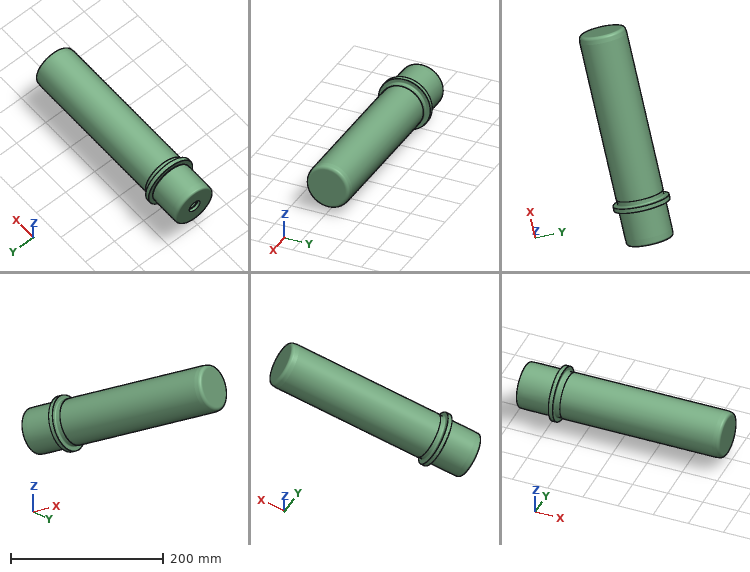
import cadquery as cq
import math

length = 289.0
pillar_radius = 31.8
flange_radius = 76.0 / 2

spigot_lead_end = 9.8
spigot_lead_radius = 31.5
spigot_edge_round = 3.0

flange_start = 48.8
flange_end = 55.2
flange_edge_chamfer = 0.3
relief_radius = 31.2
spigot_relief_width = 1.0
shank_relief_end = 62.7
relief_corner_round = 1.7

shank_lead_length = 9.2
shank_lead_radius = 31.2
shank_edge_round = 4.5

counterbore_radius = 9.2
hole_radius = 7.0
counterbore_depth = 4.3
hole_depth = 23.0
drill_point_angle = 120.0
drill_point_depth = hole_radius / math.tan(math.radians(drill_point_angle / 2))


def revolve_about_x(profile):
    return profile.close().revolve(360, (0, 0, 0), (1, 0, 0))


def round_corner(profile, start, end, centre):
    """Add a circular arc about centre, from start (the current point) to end."""
    radius = math.dist(start, centre)
    chord_middle = ((start[0] + end[0]) / 2, (start[1] + end[1]) / 2)
    stretch = radius / math.dist(chord_middle, centre)
    arc_middle = tuple(c + stretch * (m - c) for m, c in zip(chord_middle, centre))
    return profile.threePointArc(arc_middle, end)


def pillar_body():
    profile = cq.Workplane("XZ").lineTo(0, spigot_lead_radius - spigot_edge_round)
    profile = round_corner(
        profile,
        (0, spigot_lead_radius - spigot_edge_round),
        (spigot_edge_round, spigot_lead_radius),
        (spigot_edge_round, spigot_lead_radius - spigot_edge_round),
    )
    profile = (
        profile.lineTo(spigot_lead_end, pillar_radius)
        .lineTo(flange_start - spigot_relief_width, pillar_radius)
        .lineTo(flange_start - spigot_relief_width, relief_radius)
        .lineTo(flange_start, relief_radius)
        .lineTo(flange_start, flange_radius - flange_edge_chamfer)
        .lineTo(flange_start + flange_edge_chamfer, flange_radius)
        .lineTo(flange_end - flange_edge_chamfer, flange_radius)
        .lineTo(flange_end, flange_radius - flange_edge_chamfer)
        .lineTo(flange_end, relief_radius + relief_corner_round)
    )
    profile = round_corner(
        profile,
        (flange_end, relief_radius + relief_corner_round),
        (flange_end + relief_corner_round, relief_radius),
        (flange_end + relief_corner_round, relief_radius + relief_corner_round),
    )
    profile = (
        profile.lineTo(shank_relief_end, relief_radius)
        .lineTo(shank_relief_end, pillar_radius)
        .lineTo(length - shank_lead_length, pillar_radius)
        .lineTo(length - shank_edge_round, shank_lead_radius)
    )
    profile = round_corner(
        profile,
        (length - shank_edge_round, shank_lead_radius),
        (length, shank_lead_radius - shank_edge_round),
        (length - shank_edge_round, shank_lead_radius - shank_edge_round),
    )
    return revolve_about_x(profile.lineTo(length, 0))


def drilled_hole():
    """Counterbored blind hole with a conical drill point."""
    profile = (
        cq.Workplane("XZ")
        .lineTo(0, counterbore_radius)
        .lineTo(counterbore_depth, counterbore_radius)
        .lineTo(counterbore_depth, hole_radius)
        .lineTo(hole_depth, hole_radius)
        .lineTo(hole_depth + drill_point_depth, 0)
    )
    return revolve_about_x(profile)


result = pillar_body().cut(drilled_hole())